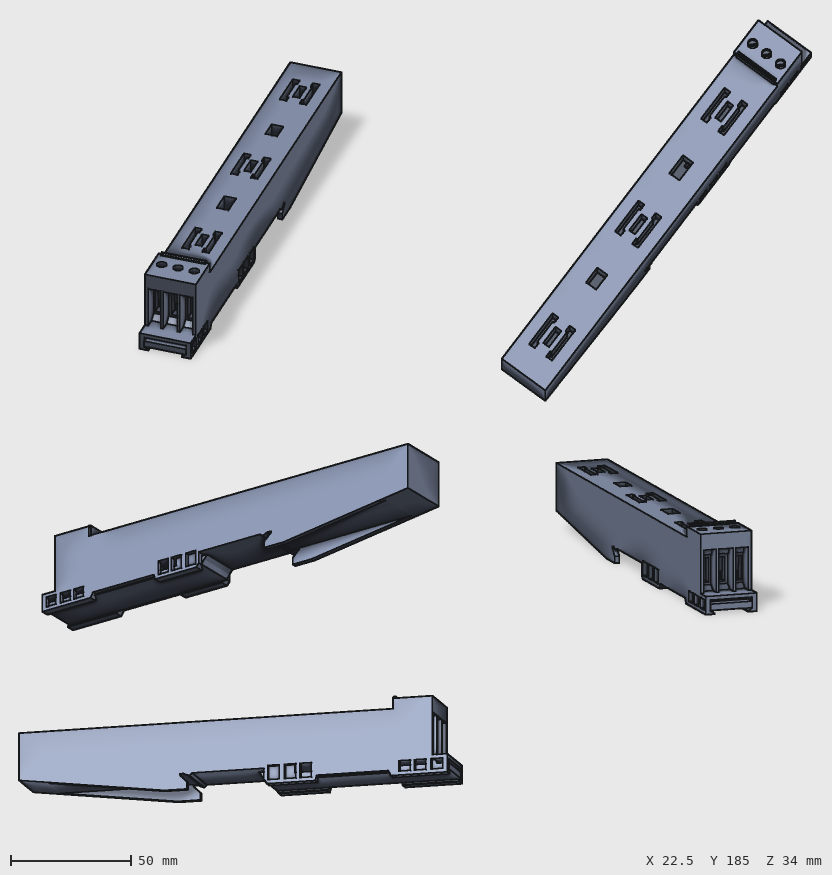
import cadquery as cq

LENGTH = 185.0
WIDTH = 22.5
DECK_Z = 28.5
HEAD_Z = 33.0
TOP_Z = 34.0
HEAD_FRONT_Y = 6.7
HEAD_BACK_Y = 23.7
SHELF_FRONT_Y = 0.2
SHELF_Z = 7.8
BACK_END_Z = 8.3
RAIL_Z = 6.7
BELLY_Z = 2.2

FRONT_FOOT_BACK_Y = 24.6
REAR_FOOT_FRONT_Y = 57.2
REAR_FOOT_BACK_Y = 79.4
FOOT_BEVEL = 1.3
REAR_FOOT_BEVEL_Z = 1.7

HOOK_TIP_Y = 112.5
HOOK_LIP_Z = 3.0
HOOK_ROOT_Y = 115.7
HOOK_ROOT_Z = 6.1
HOOK_HEEL_Y = 122.3
BUMP_BACK_Y = 114.2
BUMP_TIP_Y = 111.4
BUMP_FRONT_Y = 110.3
BUMP_TIP_Z = 5.5

CHANNEL_WIDTH = 18.5
CHANNEL_FRONT_Z = 6.1
CHANNEL_BACK_Z = SHELF_Z
CHANNEL_STEP_Y = REAR_FOOT_FRONT_Y
LIP_GAP = 14.8
LIP_TIP_Z = 0.4

SLIDER_BOTTOM_Z = 1.7
SLIDER_TOP_Z = 4.5
LATCH_FRONT_Y = 66.6
LATCH_TIP_Y = 82.2
LATCH_TIP_Z = 5.5
LATCH_KNEE_Y = 80.7
LATCH_KNEE_Z = 3.7
STOP_FRONT_Y = 5.5
STOP_LENGTH = 2.8
STOP_BEVEL = 0.5

WINDOW_LENGTH = 5.0
WINDOW_BOTTOM_Z = SLIDER_BOTTOM_Z
FRONT_WINDOW_STARTS = (2.2, 9.5, 16.1)
REAR_WINDOW_STARTS = (58.8, 65.5, 72.7)

RIDGE_WIDTH = 19.6
RIDGE_LENGTH = 1.7
RIDGE_OVERHANG = 0.4
RIDGE_BEVEL = 0.5

TERMINAL_PITCH = 7.2
TERMINALS = (-1, 0, 1)
ENTRY_OUTER_WIDTH = 19.6
ENTRY_MIDDLE_WIDTH = 6.3
ENTRY_WALL = 1.1
ENTRY_TOP_Z = 26.1
ENTRY_FLOOR_LENGTH = 4.0
ENTRY_DEPTH = 5.5
THROAT_DEPTH = 1.3
THROAT_TOP_Z = 22.8
THROAT_BOTTOM_Z = 9.8
CLAMP_WIDTH = 3.9
CLAMP_BOTTOM_Z = 11.0
CLAMP_TOP_Z = 21.3
CLAMP_DEPTH = 3.7
CLAMP_LEAN = 0.5
CLAMP_HOLE_WIDTH = 2.4
CLAMP_HOLE_HEIGHT = 3.3
CLAMP_HOLE_DEPTH = 1.9
SCREW_Y = 16.1
SCREW_DIAMETER = 4.0
SCREW_RECESS = 2.8
SCREW_SLOT_LENGTH = 2.8
SCREW_SLOT_WIDTH = 0.7
SCREW_SLOT_DEPTH = 0.5
SCREW_SLOT_ANGLE = 45

GROUP_Y = 45.5
GROUP_PITCH = 59.8
GROUP_COUNT = 3
SIDE_SLOT_LENGTH = 16.3
SIDE_SLOT_OUTER_X = 6.0
SIDE_SLOT_INNER_X = 3.0
SIDE_SLOT_WAIST_X = 3.7
SIDE_SLOT_WAIST_LENGTH = 10.7
CENTER_SLOT_LENGTH = 8.5
CENTER_SLOT_WIDTH = 3.0
SLOT_DEPTH = 9.3

OPENING_WIDTH = 5.2
OPENING_DEPTH = 9.3
OPENING_SPANS = ((70.7, 80.1), (130.3, 138.0))
RAMP_WIDTH = 1.1
RAMP_LENGTH = 1.9
RAMP_HEIGHT = 1.1


def box(x_span, y_span, z_span):
    """Block between two limits on each axis."""
    (x0, x1), (y0, y1), (z0, z1) = x_span, y_span, z_span
    return cq.Workplane("XY").box(x1 - x0, y1 - y0, z1 - z0, centered=False).translate((x0, y0, z0))


def centered(width, middle=0.0):
    """Limits of a span of the given width around a middle."""
    return (middle - width / 2, middle + width / 2)


def side_prism(points, x_span):
    """Extrude a (Y, Z) outline between two X limits."""
    x0, x1 = x_span
    return cq.Workplane("YZ").polyline(points).close().extrude(x1 - x0).translate((x0, 0, 0))


def housing():
    """Solid side profile at full width."""
    outline = [
        (SHELF_FRONT_Y, 0),
        (SHELF_FRONT_Y, SHELF_Z),
        (HEAD_FRONT_Y, SHELF_Z),
        (HEAD_FRONT_Y, HEAD_Z),
        (HEAD_BACK_Y, HEAD_Z),
        (HEAD_BACK_Y, DECK_Z),
        (LENGTH, DECK_Z),
        (LENGTH, BACK_END_Z),
        (HOOK_HEEL_Y, 0),
        (HOOK_TIP_Y, 0),
        (HOOK_TIP_Y, HOOK_LIP_Z),
        (HOOK_ROOT_Y, HOOK_ROOT_Z),
        (HOOK_ROOT_Y, RAIL_Z),
        (BUMP_BACK_Y, RAIL_Z),
        (BUMP_TIP_Y, BUMP_TIP_Z),
        (BUMP_FRONT_Y, RAIL_Z),
        (REAR_FOOT_BACK_Y, RAIL_Z),
        (REAR_FOOT_BACK_Y, REAR_FOOT_BEVEL_Z),
        (REAR_FOOT_BACK_Y - FOOT_BEVEL, 0),
        (REAR_FOOT_FRONT_Y, 0),
        (REAR_FOOT_FRONT_Y - FOOT_BEVEL / 2, BELLY_Z),
        (FRONT_FOOT_BACK_Y + FOOT_BEVEL, BELLY_Z),
        (FRONT_FOOT_BACK_Y, 0),
    ]
    return side_prism(outline, centered(WIDTH))


def channel():
    """Void for the slider; its mouth narrows between two lips under the feet."""
    half, gap = CHANNEL_WIDTH / 2, LIP_GAP / 2
    section = [
        (-gap, 0),
        (-gap, LIP_TIP_Z),
        (-half, SLIDER_BOTTOM_Z),
        (-half, CHANNEL_FRONT_Z),
        (half, CHANNEL_FRONT_Z),
        (half, SLIDER_BOTTOM_Z),
        (gap, LIP_TIP_Z),
        (gap, 0),
    ]
    run = cq.Workplane("XZ").polyline(section).close().extrude(-REAR_FOOT_BACK_Y)
    raised = box(
        centered(CHANNEL_WIDTH),
        (CHANNEL_STEP_Y, REAR_FOOT_BACK_Y),
        (SLIDER_TOP_Z, CHANNEL_BACK_Z),
    )
    return run.union(raised)


def slider():
    """Flat slider with a latch head at the back and a stop near the front."""
    outline = [
        (0, SLIDER_BOTTOM_Z),
        (0, SLIDER_TOP_Z),
        (LATCH_FRONT_Y, SLIDER_TOP_Z),
        (LATCH_FRONT_Y, CHANNEL_BACK_Z),
        (REAR_FOOT_BACK_Y, CHANNEL_BACK_Z),
        (REAR_FOOT_BACK_Y, LATCH_TIP_Z),
        (LATCH_TIP_Y, LATCH_TIP_Z),
        (LATCH_KNEE_Y, LATCH_KNEE_Z),
        (REAR_FOOT_BACK_Y, SLIDER_BOTTOM_Z),
    ]
    stop_outline = [
        (STOP_FRONT_Y - STOP_BEVEL, SLIDER_TOP_Z),
        (STOP_FRONT_Y, SLIDER_TOP_Z + STOP_BEVEL),
        (STOP_FRONT_Y, CHANNEL_FRONT_Z - STOP_BEVEL),
        (STOP_FRONT_Y + STOP_BEVEL, CHANNEL_FRONT_Z),
        (STOP_FRONT_Y + STOP_LENGTH, CHANNEL_FRONT_Z),
        (STOP_FRONT_Y + STOP_LENGTH, SLIDER_TOP_Z),
    ]
    x_span = centered(CHANNEL_WIDTH)
    return side_prism(outline, x_span).union(side_prism(stop_outline, x_span))


def hook_groove():
    """Groove under the back end that splits the fixed hook into two side tabs."""
    return box(centered(CHANNEL_WIDTH), (HOOK_TIP_Y, LENGTH), (0, RAIL_Z))


def foot_windows():
    """Window cutters through the side walls of both feet."""
    cutters = cq.Workplane("XY")
    for starts, top in ((FRONT_WINDOW_STARTS, CHANNEL_FRONT_Z), (REAR_WINDOW_STARTS, CHANNEL_BACK_Z)):
        for start in starts:
            y_span = (start, start + WINDOW_LENGTH)
            z_span = (WINDOW_BOTTOM_Z, top)
            cutters = cutters.add(box((-WIDTH / 2, -CHANNEL_WIDTH / 2), y_span, z_span))
            cutters = cutters.add(box((CHANNEL_WIDTH / 2, WIDTH / 2), y_span, z_span))
    return cutters.combine()


def ridge():
    """Bevelled ridge across the head that stands slightly proud of its back face."""
    back = HEAD_BACK_Y + RIDGE_OVERHANG
    front = back - RIDGE_LENGTH
    outline = [
        (front, TOP_Z - RIDGE_BEVEL),
        (front + RIDGE_BEVEL, TOP_Z),
        (back - RIDGE_BEVEL, TOP_Z),
        (back, TOP_Z - RIDGE_BEVEL),
        (back, DECK_Z),
        (front, DECK_Z),
    ]
    return side_prism(outline, centered(RIDGE_WIDTH))


def wire_entry(position):
    """Wire entry with a rising floor and a lowered throat, ending in a clamp recess."""
    if position == 0:
        x_span = centered(ENTRY_MIDDLE_WIDTH)
    else:
        edges = (
            position * (ENTRY_MIDDLE_WIDTH / 2 + ENTRY_WALL),
            position * ENTRY_OUTER_WIDTH / 2,
        )
        x_span = (min(edges), max(edges))
    shoulder_y = HEAD_FRONT_Y + ENTRY_DEPTH
    throat_y = shoulder_y + THROAT_DEPTH
    clamp_y = throat_y + CLAMP_DEPTH
    entry = [
        (HEAD_FRONT_Y, SHELF_Z),
        (HEAD_FRONT_Y, ENTRY_TOP_Z),
        (shoulder_y, ENTRY_TOP_Z),
        (shoulder_y, THROAT_TOP_Z),
        (throat_y, THROAT_TOP_Z),
        (throat_y, THROAT_BOTTOM_Z),
        (HEAD_FRONT_Y + ENTRY_FLOOR_LENGTH, SHELF_Z),
    ]
    x = position * TERMINAL_PITCH
    hole_top_z = CLAMP_BOTTOM_Z + CLAMP_HOLE_HEIGHT
    clamp_outline = [
        (throat_y, CLAMP_BOTTOM_Z),
        (throat_y, CLAMP_TOP_Z),
        (clamp_y - CLAMP_LEAN, CLAMP_TOP_Z),
        (clamp_y, hole_top_z),
        (clamp_y, CLAMP_BOTTOM_Z),
    ]
    clamp = side_prism(clamp_outline, centered(CLAMP_WIDTH, x))
    hole = box(
        centered(CLAMP_HOLE_WIDTH, x),
        (clamp_y, clamp_y + CLAMP_HOLE_DEPTH),
        (CLAMP_BOTTOM_Z, hole_top_z),
    )
    return side_prism(entry, x_span).union(clamp).union(hole)


def screw_recess(position):
    """Round recess down to a slotted screw head."""
    head_z = HEAD_Z - SCREW_RECESS
    recess = cq.Workplane("XY").circle(SCREW_DIAMETER / 2).extrude(SCREW_RECESS)
    slot = (
        cq.Workplane("XY")
        .transformed(rotate=(0, 0, SCREW_SLOT_ANGLE))
        .rect(SCREW_SLOT_LENGTH, SCREW_SLOT_WIDTH)
        .extrude(-SCREW_SLOT_DEPTH)
    )
    return recess.union(slot).translate((position * TERMINAL_PITCH, SCREW_Y, head_z))


def slot_group(y):
    """A center slot between two waisted slots that mirror each other."""
    end, waist = SIDE_SLOT_LENGTH / 2, SIDE_SLOT_WAIST_LENGTH / 2
    outline = [
        (SIDE_SLOT_OUTER_X, -end),
        (SIDE_SLOT_INNER_X, -end),
        (SIDE_SLOT_INNER_X, -waist),
        (SIDE_SLOT_WAIST_X, -waist),
        (SIDE_SLOT_WAIST_X, waist),
        (SIDE_SLOT_INNER_X, waist),
        (SIDE_SLOT_INNER_X, end),
        (SIDE_SLOT_OUTER_X, end),
    ]
    side = cq.Workplane("XY").polyline(outline).close().extrude(-SLOT_DEPTH)
    center = cq.Workplane("XY").rect(CENTER_SLOT_WIDTH, CENTER_SLOT_LENGTH).extrude(-SLOT_DEPTH)
    return side.union(side.mirror("YZ")).union(center).translate((0, y, DECK_Z))


def front_opening_ramp():
    """Small ramp on the floor of the front deck opening."""
    floor = DECK_Z - OPENING_DEPTH
    front = OPENING_SPANS[0][0]
    outline = [(front, floor), (front, floor + RAMP_HEIGHT), (front + RAMP_LENGTH, floor)]
    return side_prism(outline, centered(RAMP_WIDTH))


result = housing().cut(channel()).cut(hook_groove())
result = result.union(slider()).cut(foot_windows()).union(ridge())

for terminal in TERMINALS:
    result = result.cut(wire_entry(terminal)).cut(screw_recess(terminal))

for index in range(GROUP_COUNT):
    result = result.cut(slot_group(GROUP_Y + index * GROUP_PITCH))

for opening_span in OPENING_SPANS:
    result = result.cut(box(centered(OPENING_WIDTH), opening_span, (DECK_Z - OPENING_DEPTH, DECK_Z)))

result = result.union(front_opening_ramp())